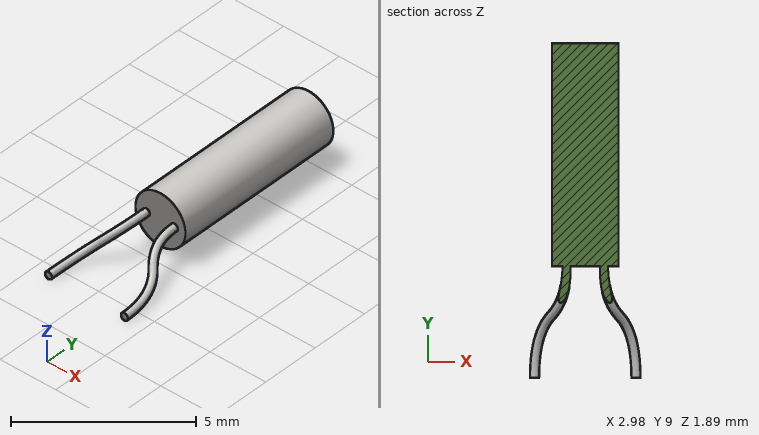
import cadquery as cq
import math

body_diameter = 1.8
body_length = 6.0
overall_length = 9.0

lead_diameter = 0.25
lead_length = overall_length - body_length
root_offset = 0.5
tip_offset = 1.3635
lead_drop = 0.86
bend_distance = 1.35
bend_angle = 52.0


def make_body():
    return cq.Workplane("XZ").circle(body_diameter / 2).extrude(-body_length)


def make_lead(side):
    """S-bent lead on the left (side = -1) or right (side = 1) of the body."""
    spread = tip_offset - root_offset
    sideways_shift = math.hypot(spread, lead_drop)
    sideways = cq.Vector(side * spread, 0, -lead_drop) / sideways_shift
    forward = cq.Vector(0, -1, 0)
    slope = math.radians(bend_angle)

    root = cq.Vector(side * root_offset, 0, 0)
    middle = root + forward * bend_distance + sideways * (sideways_shift / 2)
    tip = root + forward * lead_length + sideways * sideways_shift
    middle_direction = forward * math.cos(slope) + sideways * math.sin(slope)

    path = cq.Workplane("XY").spline(
        [root, middle, tip],
        tangents=[forward, middle_direction, forward],
    )
    root_plane = cq.Plane(origin=root, xDir=(1, 0, 0), normal=forward)
    return cq.Workplane(root_plane).circle(lead_diameter / 2).sweep(path)


result = make_body().union(make_lead(-1)).union(make_lead(1))